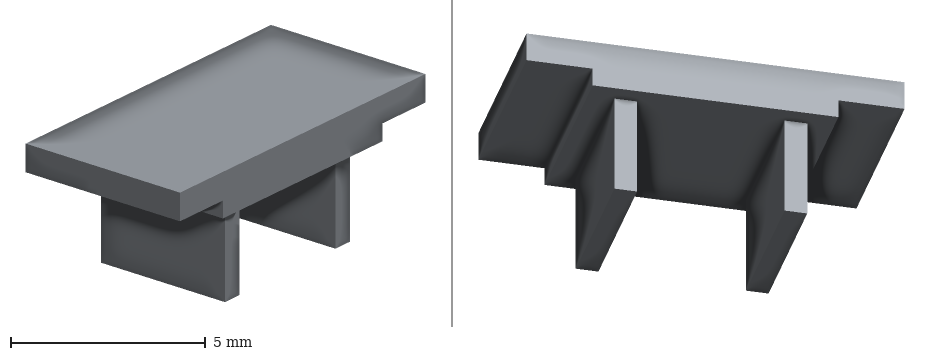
import cadquery as cq

plate_width = 5.1
plate_length = 10.0
plate_thickness = 0.8

step_length = 6.5
step_height = 0.5

leg_side_inset = 0.5
leg_width = plate_width - 2 * leg_side_inset
leg_thickness = 0.6
leg_outer_span = 5.1

total_height = 4.0
leg_height = total_height - plate_thickness - step_height


def block(width, length, height, base_z, center_y=0.0):
    """Box centred on X, standing on base_z."""
    box = cq.Workplane("XY").box(width, length, height, centered=(True, True, False))
    return box.translate((0, center_y, base_z))


step_base = leg_height
plate_base = step_base + step_height

plate = block(plate_width, plate_length, plate_thickness, plate_base)
step = block(plate_width, step_length, step_height, step_base)
result = plate.union(step)

leg_center_offset = (leg_outer_span - leg_thickness) / 2
for side in (-1, 1):
    leg = block(leg_width, leg_thickness, leg_height, 0.0, side * leg_center_offset)
    result = result.union(leg)